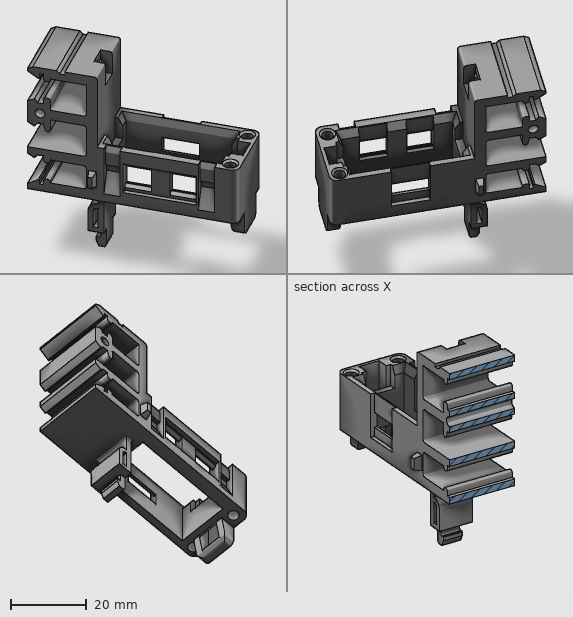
import cadquery as cq
LENGTH = 58.4
HEIGHT = 58.3
HALF_WIDTH = 10.3

POST_FRONT = 16.35
POST_BACK = 19.4
POST_ROUND = 0.9
BASE_Z = 19.6
FRAME_TOP = 36.3
FRAME_CORNER = 2.1

ARM_THICKNESS = 3.0
TOP_ARM_BOTTOM = HEIGHT - ARM_THICKNESS
MIDDLE_ARM_Z = 44.0
THIRD_ARM_TOP = 32.8
THIRD_ARM_BOTTOM = THIRD_ARM_TOP - ARM_THICKNESS
BOTTOM_ARM_TOP = BASE_Z + ARM_THICKNESS
ARM_FILLET = 0.8
HEAD_FILLET = 0.35
BEAD_START = 4.45
BEAD_END = 6.35
HEAD_HALF_HEIGHT = 3.2
TOP_GROOVE_Z = 56.35
TOP_BEAD_TIP = 54.3
MIDDLE_BEAD_TIPS = (38.55, 49.2)
MIDDLE_BEAD_TAPER = 0.4
THIRD_GROOVE_Z = 30.7
THIRD_BEAD_TIP = 28.75
BOTTOM_GROOVE_Z = 21.7
BOTTOM_BEAD_TIP = 23.7
TOP_SLOT_DEPTH = 0.9
TOP_SLOT_START = 8.05
TOP_SLOT_FLAT = 8.95
TOP_SLOT_END = 10.4
TOP_NOSE_X = 1.45
TOP_NOSE_Z = (56.7, 57.4)
TOP_LIP_TIP = 54.9
THIRD_NOSE_Z = 30.85
THIRD_LIP_TIP = 29.7
BOTTOM_NOSE_Z = 21.25
BOTTOM_LIP_TIP = 23.0
LIP_X = 1.9
LIP_RISE = 1.1
LIP_END = 2.8
LONG_LIP_FRONT = 3.0
LONG_LIP_BACK = 3.4
HEAD_HOLE_X = 3.45
HEAD_HOLE_DIAMETER = 2.8

OPENING_X = (21.55, 51.9)
OPENING_Y = (-6.7, 8.25)
CENTER_Y = sum(OPENING_Y) / 2
OPENING_TOP_X = (20.2, 53.0)
OPENING_TOP_Y = (-8.0, 8.7)
FUNNEL_DEPTH = 2.4
LEDGE_Z = 29.95
LEDGE_WIDTH = 9.15
LEDGE_END = 53.9

SCREW_X = 55.4
SCREW_Y = (-7.2, 7.65)
SCREW_DIAMETER = 3.1
COUNTERSINK_DIAMETER = 4.25
COUNTERSINK_ANGLE = 90

CLIP_SLOTS = ((21.25, 25.7), (47.5, 51.9))
CLIP_TOP_DEPTH = 1.8
CLIP_DEPTH = 1.2
CLIP_UNDERCUT_DEPTH = 2.35
CLIP_LEAD_IN_Z = 34.4
CLIP_UNDERCUT_Z = (28.1, 30.5)
CLIP_RAMP_END = 22.1
RECESS_X = (26.6, 46.85)
RECESS_Z = (23.5, 32.45)
RECESS_DEPTH = 1.3
WINDOWS = ((RECESS_X[0], 34.0), (39.2, RECESS_X[1]))
WINDOW_OUTER_Z = (24.35, 31.95)
WINDOW_INNER_Z = (25.2, 30.85)
WINDOW_SLOPE_RUN = 0.9
WINDOW_RELIEF_Y = -7.9
WINDOW_RELIEF_BOTTOM = 24.8

BACK_WINDOW_X = (31.4, 41.95)
BACK_WINDOW_Z = (26.15, 30.5)
BACK_CHANNEL_DEPTH = 1.2
BACK_CHANNEL_BOTTOM = 23.5

NOTCH_START = 16.2
NOTCH_BOTTOM = 51.45
NOTCH_WIDTH = 5.9
PEG_X = 18.05
PEG_Z = 26.3
PEG_BASE = (2.3, 4.55)
PEG_TIP = (1.2, 3.25)
PEG_LENGTH = 2.2

LATCH_WIDTH = 10.4
LATCH_FRONT = 17.75
LATCH_FILLET = 0.8
LOOP_FRONT = 14.95
LOOP_TOP = 14.7
LOOP_BOTTOM = 5.7
LOOP_WALL = 1.45
HOOK_WIDTH = 5.95
HOOK_FRONT = 16.5
HOOK_FACE_Z = (1.65, 2.75)
HOOK_LIP = (16.7, 3.15)
HOOK_NOTCH_Z = 3.3
HOOK_TIP_X = (17.3, 18.9)
HOOK_BACK_Z = 0.8

FOOT_BOTTOM = 12.5
FOOT_TOP_X = 53.8
FOOT_BOTTOM_X = 55.25
FOOT_ROUND = 1.75
POCKET_END = 57.4
POCKET_WIDTH = 6.3
POCKET_FLOOR = 14.0


def block(x, y, z):
    """Box spanning the given (low, high) pairs."""
    size = (x[1] - x[0], y[1] - y[0], z[1] - z[0])
    return cq.Workplane("XY").box(*size, centered=False).translate((x[0], y[0], z[0]))


def across(outline, half_width=HALF_WIDTH, center_y=0):
    """Extrude a closed XZ outline symmetrically about center_y."""
    return outline.extrude(half_width, both=True).translate((0, center_y, 0))


def xz_prism(points, half_width=HALF_WIDTH, center_y=0):
    """Extrude a closed XZ polygon symmetrically about center_y."""
    return across(cq.Workplane("XZ").polyline(points).close(), half_width, center_y)


def yz_prism(points, x):
    """Extrude a closed YZ polygon over the (low, high) X range."""
    outline = cq.Workplane("YZ").polyline(points).close()
    return outline.extrude(x[1] - x[0]).translate((x[0], 0, 0))


def y_span(width):
    """Y range of the given width about the frame centre."""
    return (CENTER_Y - width / 2, CENTER_Y + width / 2)


def sorted_pair(a, b):
    return (min(a, b), max(a, b))


def corner_fillet(x, z, radius, x_side, z_side):
    """Concave fillet filling the corner at (x, z) toward the given sides."""
    dx = x_side * radius
    dz = z_side * radius
    corner = block(sorted_pair(x, x + dx), (-HALF_WIDTH, HALF_WIDTH), sorted_pair(z, z + dz))
    return corner.cut(across(cq.Workplane("XZ").center(x + dx, z + dz).circle(radius)))


def bead(root_z, tip_z, taper=0):
    """Round-tipped rib between root_z and tip_z, optionally tapered on its -X side."""
    start = BEAD_START + taper
    radius = (BEAD_END - start) / 2
    shoulder_z = tip_z - radius if tip_z > root_z else tip_z + radius
    outline = (
        cq.Workplane("XZ")
        .moveTo(BEAD_START, root_z)
        .lineTo(start, shoulder_z)
        .threePointArc((start + radius, tip_z), (BEAD_END, shoulder_z))
        .lineTo(BEAD_END, root_z)
        .close()
    )
    return across(outline)


def post_and_top_arm():
    slot_z = HEIGHT - TOP_SLOT_DEPTH
    outline = [
        (POST_FRONT, BASE_Z), (POST_BACK, BASE_Z), (POST_BACK, HEIGHT),
        (TOP_SLOT_END, HEIGHT), (TOP_SLOT_END, slot_z),
        (TOP_SLOT_FLAT, slot_z), (TOP_SLOT_START, HEIGHT),
        (TOP_NOSE_X, HEIGHT), (0, TOP_NOSE_Z[1]), (0, TOP_NOSE_Z[0]),
        (LONG_LIP_FRONT, TOP_LIP_TIP), (LONG_LIP_BACK, TOP_LIP_TIP),
        (LONG_LIP_BACK, TOP_GROOVE_Z), (BEAD_START, TOP_GROOVE_Z), (BEAD_START, TOP_ARM_BOTTOM),
        (POST_FRONT, TOP_ARM_BOTTOM),
    ]
    post = xz_prism(outline).edges(">X and >Z").fillet(POST_ROUND)
    return post.union(bead(TOP_GROOVE_Z, TOP_BEAD_TIP))


def middle_arm():
    half_arm = ARM_THICKNESS / 2
    top = MIDDLE_ARM_Z + half_arm
    bottom = MIDDLE_ARM_Z - half_arm
    head_top = MIDDLE_ARM_Z + HEAD_HALF_HEIGHT
    head_bottom = MIDDLE_ARM_Z - HEAD_HALF_HEIGHT
    outline = [
        (0, head_top), (LIP_X, head_top + LIP_RISE), (LIP_END, head_top), (BEAD_END, head_top),
        (BEAD_END, top), (POST_FRONT, top), (POST_FRONT, bottom), (BEAD_END, bottom),
        (BEAD_END, head_bottom), (LIP_END, head_bottom),
        (LIP_X, head_bottom - LIP_RISE), (0, head_bottom),
    ]
    arm = xz_prism(outline)
    arm = arm.union(bead(head_top, MIDDLE_BEAD_TIPS[1]))
    arm = arm.union(bead(head_bottom, MIDDLE_BEAD_TIPS[0], MIDDLE_BEAD_TAPER))
    for z, side in ((top, 1), (bottom, -1)):
        arm = arm.union(corner_fillet(POST_FRONT, z, ARM_FILLET, -1, side))
        arm = arm.union(corner_fillet(BEAD_END, z, HEAD_FILLET, 1, side))
    hole = cq.Workplane("XZ").center(HEAD_HOLE_X, MIDDLE_ARM_Z).circle(HEAD_HOLE_DIAMETER / 2)
    return arm.cut(across(hole))


def third_arm():
    outline = [
        (0, THIRD_ARM_TOP), (POST_FRONT, THIRD_ARM_TOP), (POST_FRONT, THIRD_ARM_BOTTOM),
        (BEAD_START, THIRD_ARM_BOTTOM), (BEAD_START, THIRD_GROOVE_Z), (LIP_END, THIRD_GROOVE_Z),
        (LIP_X, THIRD_LIP_TIP), (0, THIRD_NOSE_Z),
    ]
    arm = xz_prism(outline).union(bead(THIRD_GROOVE_Z, THIRD_BEAD_TIP))
    arm = arm.union(corner_fillet(POST_FRONT, THIRD_ARM_TOP, ARM_FILLET, -1, 1))
    return arm.union(corner_fillet(POST_FRONT, THIRD_ARM_BOTTOM, ARM_FILLET, -1, -1))


def bottom_arm():
    outline = [
        (0, BASE_Z), (POST_FRONT, BASE_Z), (POST_FRONT, BOTTOM_ARM_TOP),
        (BEAD_START, BOTTOM_ARM_TOP), (BEAD_START, BOTTOM_GROOVE_Z), (LONG_LIP_BACK, BOTTOM_GROOVE_Z),
        (LONG_LIP_BACK, BOTTOM_LIP_TIP), (LONG_LIP_FRONT, BOTTOM_LIP_TIP), (0, BOTTOM_NOSE_Z),
    ]
    arm = xz_prism(outline).union(bead(BOTTOM_GROOVE_Z, BOTTOM_BEAD_TIP))
    return arm.union(corner_fillet(POST_FRONT, BOTTOM_ARM_TOP, ARM_FILLET, -1, 1))


def post_notch():
    half = NOTCH_WIDTH / 2
    return block((NOTCH_START, POST_BACK), (-half, half), (NOTCH_BOTTOM, HEIGHT))


def side_pegs():
    peg = (
        cq.Workplane("XZ", origin=(PEG_X, -HALF_WIDTH, PEG_Z))
        .rect(*PEG_BASE)
        .workplane(offset=PEG_LENGTH)
        .rect(*PEG_TIP)
        .loft()
    )
    return peg.union(peg.mirror("XZ"))


def frame_body():
    body = block((POST_FRONT, LENGTH), (-HALF_WIDTH, HALF_WIDTH), (BASE_Z, FRAME_TOP))
    return body.edges("|Z and >X").fillet(FRAME_CORNER)


def frame_opening():
    """Through opening with a funnelled rim and a ledge at each end."""
    shaft = block(OPENING_X, OPENING_Y, (BASE_Z, FRAME_TOP))
    rim = FRAME_TOP - FUNNEL_DEPTH

    def rectangle(x, y, z):
        corners = [(x[0], y[0]), (x[1], y[0]), (x[1], y[1]), (x[0], y[1])]
        return cq.Wire.makePolygon([cq.Vector(cx, cy, z) for cx, cy in corners], close=True)

    funnel = cq.Solid.makeLoft(
        [rectangle(OPENING_X, OPENING_Y, rim), rectangle(OPENING_TOP_X, OPENING_TOP_Y, FRAME_TOP)],
        True,
    )
    ledge = block((POST_BACK, LEDGE_END), y_span(LEDGE_WIDTH), (LEDGE_Z, FRAME_TOP))
    return shaft.union(cq.Workplane(funnel)).union(ledge)


def drill_screw_holes(body):
    return (
        body.faces(">Z")
        .workplane(origin=(0, 0, FRAME_TOP))
        .pushPoints([(SCREW_X, y) for y in SCREW_Y])
        .cskHole(SCREW_DIAMETER, COUNTERSINK_DIAMETER, COUNTERSINK_ANGLE)
    )


def clip_slot(x):
    """Open-topped slot with a lead-in, an undercut and a run-out ramp."""
    face = -HALF_WIDTH
    profile = [
        (face, FRAME_TOP),
        (face + CLIP_TOP_DEPTH, FRAME_TOP),
        (face + CLIP_DEPTH, CLIP_LEAD_IN_Z),
        (face + CLIP_DEPTH, CLIP_UNDERCUT_Z[1]),
        (face + CLIP_UNDERCUT_DEPTH, CLIP_UNDERCUT_Z[1]),
        (face + CLIP_UNDERCUT_DEPTH, CLIP_UNDERCUT_Z[0]),
        (face, CLIP_RAMP_END),
    ]
    return yz_prism(profile, x)


def front_window(x):
    """Window with sloped sill and lintel, relieved upward on the inside."""
    outer_y = -HALF_WIDTH + RECESS_DEPTH
    slope_y = outer_y + WINDOW_SLOPE_RUN
    inner_y = OPENING_Y[0]
    profile = [
        (outer_y, WINDOW_OUTER_Z[0]), (slope_y, WINDOW_INNER_Z[0]), (inner_y, WINDOW_INNER_Z[0]),
        (inner_y, WINDOW_INNER_Z[1]), (slope_y, WINDOW_INNER_Z[1]), (outer_y, WINDOW_OUTER_Z[1]),
    ]
    relief = block(x, (WINDOW_RELIEF_Y, inner_y), (WINDOW_RELIEF_BOTTOM, FRAME_TOP))
    return yz_prism(profile, x).union(relief)


def front_recess():
    return block(RECESS_X, (-HALF_WIDTH, -HALF_WIDTH + RECESS_DEPTH), RECESS_Z)


def back_window():
    """Outer channel open at the top, with a window through the remaining skin."""
    channel_y = HALF_WIDTH - BACK_CHANNEL_DEPTH
    channel = block(BACK_WINDOW_X, (channel_y, HALF_WIDTH), (BACK_CHANNEL_BOTTOM, FRAME_TOP))
    return channel.union(block(BACK_WINDOW_X, (OPENING_Y[1], channel_y), BACK_WINDOW_Z))


def latch_stem():
    """Stem under the post, blended into its underside."""
    root = block((POST_FRONT, POST_BACK), (-HALF_WIDTH, HALF_WIDTH), (BASE_Z, BOTTOM_ARM_TOP))
    stem_y = y_span(LATCH_WIDTH)
    outline = [
        (LATCH_FRONT, LOOP_BOTTOM), (POST_BACK, LOOP_BOTTOM), (POST_BACK, BASE_Z), (LATCH_FRONT, BASE_Z),
    ]
    stem = root.union(xz_prism(outline, LATCH_WIDTH / 2, CENTER_Y))
    margin = 0.05
    junction = cq.selectors.BoxSelector(
        (LATCH_FRONT - margin, stem_y[0] - margin, BASE_Z - margin),
        (POST_BACK - margin, stem_y[1] + margin, BASE_Z + margin),
    )
    return stem.edges(junction).fillet(LATCH_FILLET)


def loop_outline(front, top, bottom):
    """Closed XZ outline whose top is a quarter round ending at the stem."""
    radius = LATCH_FRONT - front
    return (
        cq.Workplane("XZ")
        .moveTo(front, bottom)
        .lineTo(front, top - radius)
        .radiusArc((LATCH_FRONT, top), radius)
        .lineTo(LATCH_FRONT, bottom)
        .close()
    )


def latch_loop():
    outer = loop_outline(LOOP_FRONT, LOOP_TOP, LOOP_BOTTOM)
    inner = loop_outline(LOOP_FRONT + LOOP_WALL, LOOP_TOP - LOOP_WALL, LOOP_BOTTOM + LOOP_WALL)
    half = LATCH_WIDTH / 2
    return across(outer, half, CENTER_Y).cut(across(inner, half, CENTER_Y))


def latch_hook():
    """Narrow tongue ending in a barb with a rounded notch behind its lip."""
    outline = (
        cq.Workplane("XZ")
        .moveTo(POST_BACK, LOOP_BOTTOM)
        .lineTo(LATCH_FRONT, LOOP_BOTTOM)
        .lineTo(LATCH_FRONT, HOOK_NOTCH_Z)
        .tangentArcPoint(HOOK_LIP, relative=False)
        .lineTo(HOOK_FRONT, HOOK_FACE_Z[1])
        .lineTo(HOOK_FRONT, HOOK_FACE_Z[0])
        .lineTo(HOOK_TIP_X[0], 0)
        .lineTo(HOOK_TIP_X[1], 0)
        .lineTo(POST_BACK, HOOK_BACK_Z)
        .close()
    )
    return across(outline, HOOK_WIDTH / 2, CENTER_Y)


def foot():
    """Tapered foot with its lower -X and side edges rounded."""
    outline = [
        (FOOT_TOP_X, BASE_Z), (LENGTH, BASE_Z), (LENGTH, FOOT_BOTTOM), (FOOT_BOTTOM_X, FOOT_BOTTOM),
    ]
    solid = xz_prism(outline, LATCH_WIDTH / 2, CENTER_Y)
    return solid.faces("<Z").edges("not >X").fillet(FOOT_ROUND)


def foot_pocket():
    """Pocket from the frame top into the foot, breaking out of its sloped side."""
    return block((LEDGE_END, POCKET_END), y_span(POCKET_WIDTH), (POCKET_FLOOR, FRAME_TOP))


def frame():
    body = drill_screw_holes(frame_body()).union(foot())
    body = body.cut(frame_opening()).cut(foot_pocket())
    body = body.cut(front_recess()).cut(back_window())
    for window in WINDOWS:
        body = body.cut(front_window(window))
    for slot in CLIP_SLOTS:
        body = body.cut(clip_slot(slot))
    return body


result = post_and_top_arm().cut(post_notch())
FEATURES = (
    middle_arm, third_arm, bottom_arm, side_pegs, frame, latch_stem, latch_loop, latch_hook,
)
for feature in FEATURES:
    result = result.union(feature())
result = result.clean()